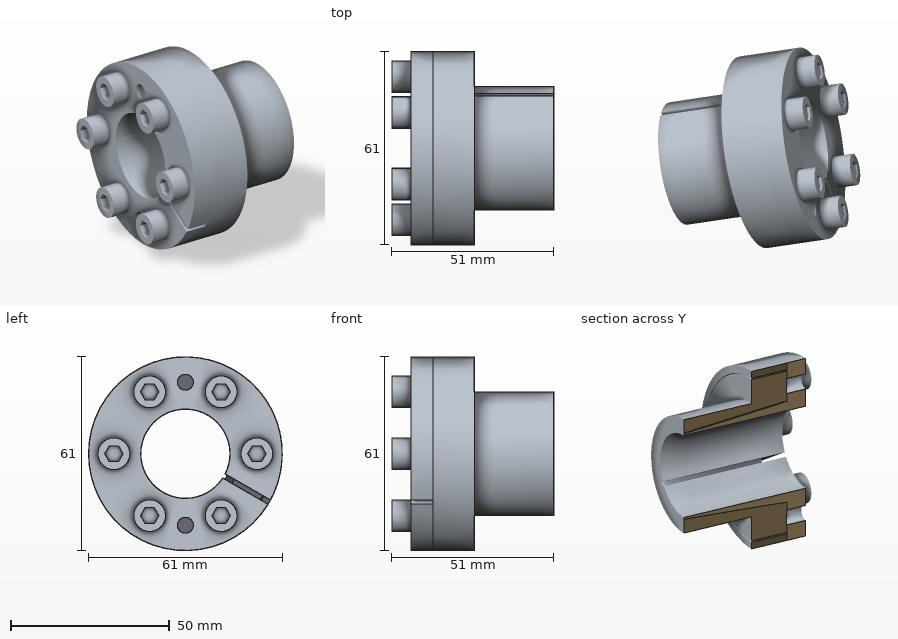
import cadquery as cq


outer_diameter = 61.0
slit_width = 1.5
slit_angle = 30.0

bore_diameter = 28.0
inner_flange_length = 7.0
jack_hole_diameter = 5.0
jack_hole_angles = (90.0, 270.0)

taper_large_radius = 17.4
taper_small_radius = 14.8

spacer_length = 13.0
spacer_bore_diameter = 56.0
spacer_clearance = 0.25
outer_flange_diameter = spacer_bore_diameter - 2 * spacer_clearance
sleeve_diameter = 39.0
sleeve_length = 25.0

screw_count = 6
screw_spacing = 360 / screw_count
bolt_circle_radius = 22.5
head_diameter = 10.0
head_height = 6.0
socket_across_flats = 5.0
socket_depth = 3.0

spacer_start = inner_flange_length
spacer_end = spacer_start + spacer_length
sleeve_end = spacer_end + sleeve_length


def revolve_about_x(points):
    """Revolve a closed outline of (x, radius) points about the X axis."""
    return cq.Workplane("XY").polyline(points).close().revolve(360, (0, 0, 0), (1, 0, 0))


def cylinder(diameter, start, length):
    """Solid cylinder on the X axis."""
    return cq.Workplane("YZ", origin=(start, 0, 0)).circle(diameter / 2).extrude(length)


def at_bolt_circle(body, angle):
    """Move a body from the X axis to the bolt circle, at an angle from +Y."""
    return body.translate((0, bolt_circle_radius, 0)).rotate((0, 0, 0), (1, 0, 0), angle)


def radial_slit(angle):
    """Full-length cutter for one slit, running outward from the X axis at an angle from +Y."""
    cutter = cq.Workplane("XY").box(
        sleeve_end, outer_diameter, slit_width, centered=(False, False, True)
    )
    return cutter.rotate((0, 0, 0), (1, 0, 0), angle)


def make_inner_ring():
    bore_radius = bore_diameter / 2
    ring = revolve_about_x([
        (0, bore_radius),
        (0, outer_diameter / 2),
        (spacer_start, outer_diameter / 2),
        (spacer_start, taper_large_radius),
        (sleeve_end, taper_small_radius),
        (sleeve_end, bore_radius),
    ])
    for angle in jack_hole_angles:
        ring = ring.cut(at_bolt_circle(cylinder(jack_hole_diameter, 0, inner_flange_length), angle))
    return ring.cut(radial_slit(slit_angle + 180))


def make_outer_ring():
    ring = revolve_about_x([
        (spacer_start, taper_large_radius),
        (spacer_start, outer_flange_diameter / 2),
        (spacer_end, outer_flange_diameter / 2),
        (spacer_end, sleeve_diameter / 2),
        (sleeve_end, sleeve_diameter / 2),
        (sleeve_end, taper_small_radius),
    ])
    return ring.cut(radial_slit(slit_angle))


def make_spacer_ring():
    hole = cylinder(spacer_bore_diameter, spacer_start, spacer_length)
    return cylinder(outer_diameter, spacer_start, spacer_length).cut(hole)


def make_screw(angle):
    """Screw head on the flange face; two corners of its socket lie along Y."""
    socket = (
        cq.Workplane("YZ", origin=(-head_height, 0, 0))
        .transformed(rotate=(0, 0, 90))
        .polygon(6, socket_across_flats, circumscribed=True)
        .extrude(socket_depth)
    )
    head = cylinder(head_diameter, -head_height, head_height).cut(socket)
    return at_bolt_circle(head, angle)


inner_ring = make_inner_ring()
outer_ring = make_outer_ring()
spacer_ring = make_spacer_ring()
screws = [make_screw(index * screw_spacing) for index in range(screw_count)]

result = cq.Compound.makeCompound([
    inner_ring.val(),
    outer_ring.val(),
    spacer_ring.val(),
    *[screw.val() for screw in screws],
])